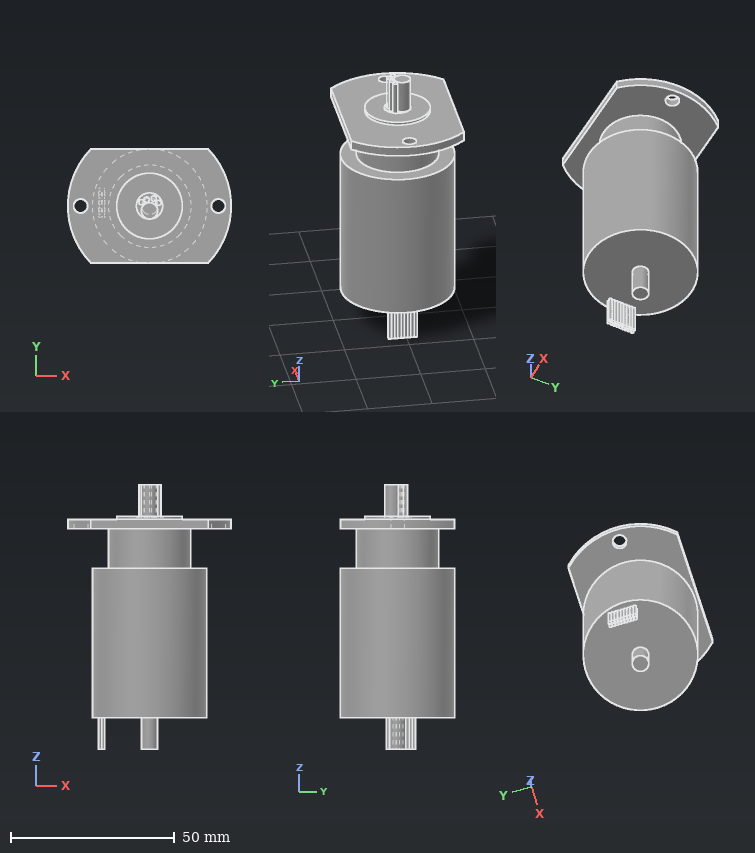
import cadquery as cq

tail_length = 9.6
body_height = 45.7
neck_height = 11.95
flange_thickness = 2.9
cap_height = 1.0
exposed_cable_height = 9.6

body_diameter = 35.0
neck_diameter = 25.2
flange_diameter = 49.9
flange_width = 34.9
cap_diameter = 20.0
outlet_diameter = 8.0
outlet_depth = 0.4
mount_hole_diameter = 4.2
mount_hole_spacing = 42.0

cable_diameter = 5.0
top_cable_y = -1.45
bottom_cable_y = 0.0
lead_diameter = 1.6
lead_centers = [(-2.4, 1.1), (-0.9, 1.9), (1.3, 2.3), (2.75, 1.0)]
ribbon_wire_diameter = 1.0
ribbon_wire_gap = 0.03
ribbon_pitch = ribbon_wire_diameter + ribbon_wire_gap
ribbon_wires_per_row = 9
ribbon_row_count = 2
ribbon_center_x = -14.6
ribbon_center_y = 1.05

neck_bottom = tail_length + body_height
flange_bottom = neck_bottom + neck_height
flange_top = flange_bottom + flange_thickness
cap_top = flange_top + cap_height
outlet_floor = cap_top - outlet_depth
total_height = cap_top + exposed_cable_height


def cylinder(diameter, bottom, top, center=(0, 0)):
    return cq.Workplane("XY", origin=(*center, bottom)).circle(diameter / 2).extrude(top - bottom)


def make_flange():
    """Round plate with two flat sides and a mounting hole at each end."""
    plate = cylinder(flange_diameter, flange_bottom, flange_top)
    flats = cq.Workplane("XY", origin=(0, 0, flange_bottom)).rect(flange_diameter, flange_width)
    plate = plate.intersect(flats.extrude(flange_thickness))
    for side in (-1, 1):
        hole_center = (side * mount_hole_spacing / 2, 0)
        plate = plate.cut(cylinder(mount_hole_diameter, flange_bottom, flange_top, hole_center))
    return plate


def make_ribbon():
    """Parallel rows of thin wires hanging below the body."""
    first_x = ribbon_center_x - ribbon_pitch * (ribbon_row_count - 1) / 2
    first_y = ribbon_center_y - ribbon_pitch * (ribbon_wires_per_row - 1) / 2
    wires = cq.Workplane("XY")
    for row in range(ribbon_row_count):
        for index in range(ribbon_wires_per_row):
            center = (first_x + row * ribbon_pitch, first_y + index * ribbon_pitch)
            wires = wires.add(cylinder(ribbon_wire_diameter, 0, tail_length, center))
    return wires


result = cylinder(body_diameter, tail_length, neck_bottom)
result = result.union(cylinder(neck_diameter, neck_bottom, flange_bottom))
result = result.union(make_flange())
result = result.union(cylinder(cap_diameter, flange_top, cap_top))

result = result.cut(cylinder(outlet_diameter, outlet_floor, cap_top))
result = result.union(cylinder(cable_diameter, outlet_floor, total_height, (0, top_cable_y)))
for lead_center in lead_centers:
    result = result.union(cylinder(lead_diameter, outlet_floor, total_height, lead_center))

result = result.union(cylinder(cable_diameter, 0, tail_length, (0, bottom_cable_y)))
result = result.union(make_ribbon()).solids()